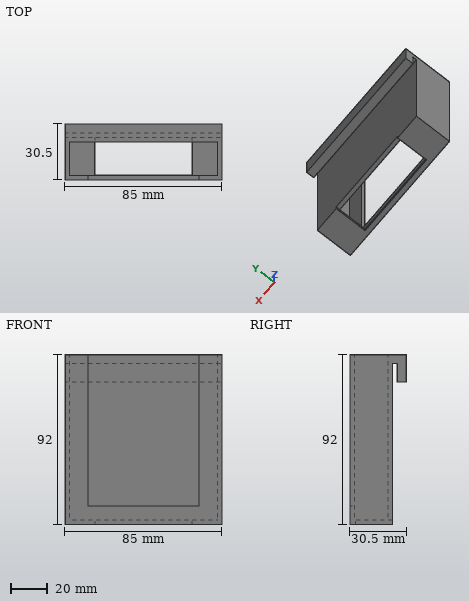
import cadquery as cq

width = 85.0
depth = 30.5
height = 92.0

wall = 2.5
floor_thickness = 2.5

hook_thickness = 5.0
hook_gap = 2.5
hook_drop = 15.0

window_width = 60.0
window_sill = 10.0
slot_width = 52.6
slot_front_lip = 0.5

body_depth = depth - hook_thickness - hook_gap
pocket_depth = body_depth - 2 * wall


def block(size_x, y_start, y_end, z_start, z_end):
    """Box centred on X that spans the given Y and Z ranges."""
    return (
        cq.Workplane("XY")
        .box(size_x, y_end - y_start, z_end - z_start, centered=(True, False, False))
        .translate((0, y_start, z_start))
    )


def hook():
    """Top bridge and downward lip, extruded across the full width."""
    bridge = block(width, body_depth - wall, depth, height - hook_thickness, height)
    lip = block(width, depth - hook_thickness, depth, height - hook_drop, height)
    return bridge.union(lip)


body = block(width, 0, body_depth, 0, height)
pocket = block(width - 2 * wall, wall, wall + pocket_depth, floor_thickness, height)
front_window = block(window_width, 0, wall, window_sill, height)
floor_slot = block(slot_width, wall + slot_front_lip, body_depth, 0, floor_thickness)

result = body.union(hook()).cut(pocket).cut(front_window).cut(floor_slot)